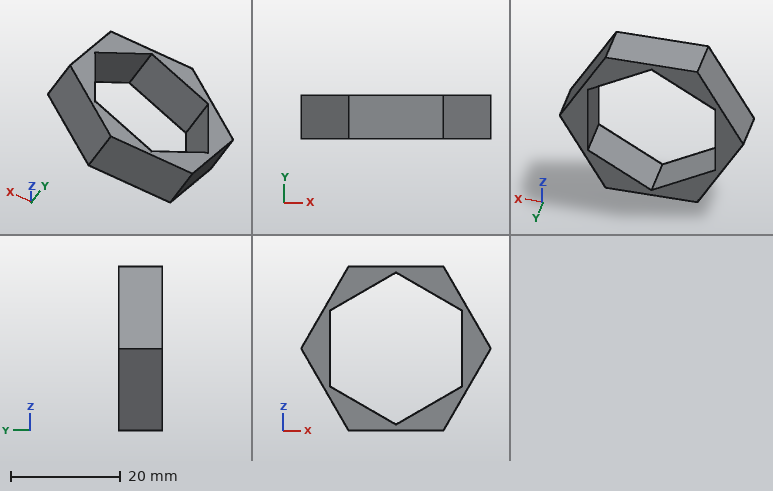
import cadquery as cq

outer_across_corners = 34.65
hole_across_corners = 27.7
thickness = 8.0
hole_turn = 30.0


def hexagonal_prism(across_corners):
    """Hexagonal prism along Y, centred on the origin, with corners on the X axis."""
    return (
        cq.Workplane("XZ")
        .polygon(6, across_corners)
        .extrude(thickness / 2, both=True)
    )


body = hexagonal_prism(outer_across_corners)
hole = hexagonal_prism(hole_across_corners).rotate((0, 0, 0), (0, 1, 0), hole_turn)

result = body.cut(hole)